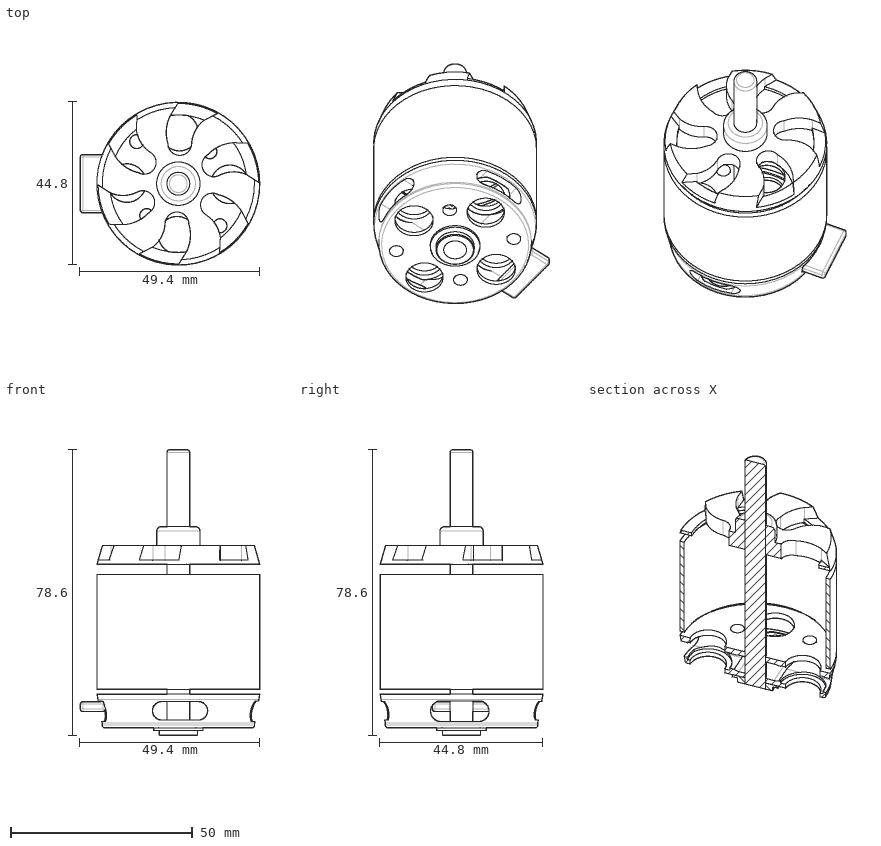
import cadquery as cq
import math

TOTAL_HEIGHT = 78.6
BASE_BOTTOM = 2.1
BASE_TOP = 11.4
CAN_BOTTOM = 12.7
CAN_TOP = 44.3
CAP_BOTTOM = 47.1
CAP_TOP = 52.3
HUB_TOP = 57.45

MOTOR_RADIUS = 22.4

SHAFT_RADIUS = 3.15
SHAFT_END_FILLET = 0.7

CAN_WALL = 1.3

CAP_TOP_RADIUS = 20.9
CAP_RIM_INNER_RADIUS = 18.9
CAP_RIM_HEIGHT = 1.2
HUB_RADIUS = 6.0
HUB_FILLET = 1.25
FAN_SLOT_COUNT = 6
SLOT_LOBE_X = 0.4
SLOT_LOBE_Y = 11.0
SLOT_LOBE_RADIUS = 3.2
SLOT_LEFT_MIDDLE = (-3.3, 14.0)
SLOT_LEFT_RIM = (-2.1, 18.9)
SLOT_RIGHT_MIDDLE = (4.5, 14.3)
SLOT_RIGHT_RIM = (7.0, 17.4)
SLOT_LEFT_ANGLE = 58.0
SLOT_RIGHT_ANGLE = 27.0
SLOT_END_LENGTH = 7.85

BASE_BAND_HEIGHT = 1.4
BASE_BAND_BOTTOM_RADIUS = 22.2
BASE_FOOT_TOP = 3.45
BASE_FOOT_RADIUS = 21.0
BASE_FOOT_FILLET = 0.8
FRONT_WINDOW_WIDTH = 15.1
FRONT_WINDOW_BOTTOM = 4.3
FRONT_WINDOW_HEIGHT = 5.0
SIDE_WINDOW_WIDTH = 16.0
SIDE_WINDOW_BOTTOM = 3.9
SIDE_WINDOW_HEIGHT = 5.6
WINDOW_OFFSET = 0.5
VENT_CIRCLE_RADIUS = 14.15
FRONT_VENT_RADIUS = 5.1
FRONT_VENT_ANGLE = 88.7
SIDE_VENT_RADIUS = 5.3
SIDE_VENT_ANGLE = -0.7
VENT_RELIEF_RADIUS = 6.6
VENT_RELIEF_BOTTOM = 3.6
VENT_RELIEF_REACH = 20.1
SCREW_HOLE_RADIUS = 1.9
INNER_SCREW_CIRCLE_RADIUS = 12.3
INNER_SCREW_ANGLE = 45.3
OUTER_SCREW_CIRCLE_RADIUS = 16.3
OUTER_SCREW_ANGLE = 134.7

CABLE_OUTER_X = -26.95
CABLE_INNER_X = -20.05
CABLE_WIDTH = 16.0
CABLE_BOTTOM = 6.6
CABLE_TOP = 9.35
CABLE_FILLET = 0.7

COLLAR_RADIUS = 5.3
COLLAR_FLANGE_RADIUS = 6.8
COLLAR_FLANGE_BOTTOM = 1.4
COLLAR_CHAMFER = 0.2


def disc(radius, bottom, top):
    """Solid cylinder on the motor axis between two heights."""
    return cq.Workplane("XY").workplane(offset=bottom).circle(radius).extrude(top - bottom)


def shaft_bore(bottom, top):
    return disc(SHAFT_RADIUS, bottom, top)


def polar(radius, degrees):
    angle = math.radians(degrees)
    return (radius * math.cos(angle), radius * math.sin(angle))


def make_shaft():
    return disc(SHAFT_RADIUS, 0, TOTAL_HEIGHT).faces(">Z").edges().fillet(SHAFT_END_FILLET)


def make_can():
    inner = disc(MOTOR_RADIUS - CAN_WALL, CAN_BOTTOM, CAN_TOP)
    return disc(MOTOR_RADIUS, CAN_BOTTOM, CAN_TOP).cut(inner)


def fan_slot():
    """Curved slot that opens outward, as tall as the cap."""
    lobe_left = (SLOT_LOBE_X - SLOT_LOBE_RADIUS, SLOT_LOBE_Y)
    lobe_bottom = (SLOT_LOBE_X, SLOT_LOBE_Y - SLOT_LOBE_RADIUS)
    lobe_right = (SLOT_LOBE_X + SLOT_LOBE_RADIUS, SLOT_LOBE_Y)
    left_step = polar(SLOT_END_LENGTH, SLOT_LEFT_ANGLE)
    right_step = polar(SLOT_END_LENGTH, SLOT_RIGHT_ANGLE)
    return (
        cq.Workplane("XY").workplane(offset=CAP_BOTTOM)
        .moveTo(*lobe_left)
        .threePointArc(lobe_bottom, lobe_right)
        .threePointArc(SLOT_RIGHT_MIDDLE, SLOT_RIGHT_RIM)
        .line(*right_step)
        .lineTo(SLOT_LEFT_RIM[0] + left_step[0], SLOT_LEFT_RIM[1] + left_step[1])
        .lineTo(*SLOT_LEFT_RIM)
        .threePointArc(SLOT_LEFT_MIDDLE, lobe_left)
        .close()
        .extrude(CAP_TOP - CAP_BOTTOM)
    )


def make_fan_cap():
    plate = (
        cq.Workplane("XZ")
        .polyline([
            (0, CAP_BOTTOM),
            (MOTOR_RADIUS, CAP_BOTTOM),
            (CAP_TOP_RADIUS, CAP_TOP),
            (0, CAP_TOP),
        ])
        .close()
        .revolve(360, (0, 0, 0), (0, 1, 0))
    )
    rim_top = CAP_BOTTOM + CAP_RIM_HEIGHT
    rim = disc(MOTOR_RADIUS, CAP_BOTTOM, rim_top).cut(disc(CAP_RIM_INNER_RADIUS, CAP_BOTTOM, rim_top))
    slot = fan_slot().cut(rim)
    for index in range(FAN_SLOT_COUNT):
        plate = plate.cut(slot.rotate((0, 0, 0), (0, 0, 1), index * 360 / FAN_SLOT_COUNT))
    hub = disc(HUB_RADIUS, CAP_TOP, HUB_TOP).faces(">Z").edges().fillet(HUB_FILLET)
    return plate.union(hub).cut(shaft_bore(CAP_BOTTOM, HUB_TOP))


def window_pair(plane, offset, width, bottom, height):
    """Rounded slot that runs right across the base."""
    return (
        cq.Workplane(plane)
        .center(offset, bottom + height / 2)
        .slot2D(width, height)
        .extrude(MOTOR_RADIUS, both=True)
    )


def opposite_holes(hole_radius, circle_radius, angle, bottom=BASE_BOTTOM, top=BASE_TOP):
    """Two upright holes in the base, facing each other across the axis."""
    centres = [polar(circle_radius, angle), polar(circle_radius, angle + 180)]
    return (
        cq.Workplane("XY").workplane(offset=bottom)
        .pushPoints(centres)
        .circle(hole_radius)
        .extrude(top - bottom)
    )


def vent_pair(vent_radius, angle):
    """Two through vents, each widened inside the base at window height."""
    relief_top = SIDE_WINDOW_BOTTOM + SIDE_WINDOW_HEIGHT
    relief = opposite_holes(
        VENT_RELIEF_RADIUS, VENT_CIRCLE_RADIUS, angle, VENT_RELIEF_BOTTOM, relief_top
    ).intersect(disc(VENT_RELIEF_REACH, VENT_RELIEF_BOTTOM, relief_top))
    return opposite_holes(vent_radius, VENT_CIRCLE_RADIUS, angle).union(relief)


def make_base(cable_block):
    body = (
        cq.Workplane("XZ")
        .polyline([
            (0, BASE_BOTTOM),
            (BASE_FOOT_RADIUS, BASE_BOTTOM),
            (BASE_FOOT_RADIUS, BASE_FOOT_TOP),
            (BASE_BAND_BOTTOM_RADIUS, BASE_TOP - BASE_BAND_HEIGHT),
            (MOTOR_RADIUS, BASE_TOP),
            (0, BASE_TOP),
        ])
        .close()
        .revolve(360, (0, 0, 0), (0, 1, 0))
        .faces("<Z").edges().fillet(BASE_FOOT_FILLET)
    )
    front_windows = window_pair(
        "XZ", WINDOW_OFFSET, FRONT_WINDOW_WIDTH, FRONT_WINDOW_BOTTOM, FRONT_WINDOW_HEIGHT
    )
    side_windows = window_pair(
        "YZ", -WINDOW_OFFSET, SIDE_WINDOW_WIDTH, SIDE_WINDOW_BOTTOM, SIDE_WINDOW_HEIGHT
    )
    return (
        body.cut(front_windows)
        .cut(side_windows)
        .cut(vent_pair(FRONT_VENT_RADIUS, FRONT_VENT_ANGLE))
        .cut(vent_pair(SIDE_VENT_RADIUS, SIDE_VENT_ANGLE))
        .cut(opposite_holes(SCREW_HOLE_RADIUS, INNER_SCREW_CIRCLE_RADIUS, INNER_SCREW_ANGLE))
        .cut(opposite_holes(SCREW_HOLE_RADIUS, OUTER_SCREW_CIRCLE_RADIUS, OUTER_SCREW_ANGLE))
        .cut(shaft_bore(BASE_BOTTOM, BASE_TOP))
        .cut(cable_block)
    )


def make_cable_block():
    length = CABLE_INNER_X - CABLE_OUTER_X
    height = CABLE_TOP - CABLE_BOTTOM
    centre = ((CABLE_OUTER_X + CABLE_INNER_X) / 2, 0, CABLE_BOTTOM + height / 2)
    return cq.Workplane("XY").box(length, CABLE_WIDTH, height).edges().fillet(CABLE_FILLET).translate(centre)


def make_retaining_collar():
    ring = disc(COLLAR_RADIUS, 0, BASE_BOTTOM).faces("<Z").edges().chamfer(COLLAR_CHAMFER)
    flange = disc(COLLAR_FLANGE_RADIUS, COLLAR_FLANGE_BOTTOM, BASE_BOTTOM)
    return ring.union(flange).cut(shaft_bore(0, BASE_BOTTOM))


shaft = make_shaft()
can = make_can()
fan_cap = make_fan_cap()
cable_block = make_cable_block()
base = make_base(cable_block)
retaining_collar = make_retaining_collar()

result = cq.Compound.makeCompound([
    shaft.val(),
    can.val(),
    fan_cap.val(),
    cable_block.val(),
    base.val(),
    retaining_collar.val(),
])